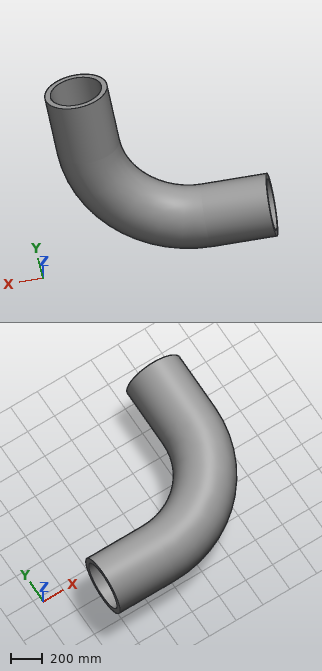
import cadquery as cq

overall_length = 1250.0
outer_diameter = 400.0
bore_diameter = 328.0
straight_length = 412.0

bend_radius = overall_length - outer_diameter / 2 - straight_length
bend_angle = 90.0


def pipe_ring(plane):
    """Annular pipe section at the origin of the given plane."""
    return cq.Workplane(plane).circle(outer_diameter / 2).circle(bore_diameter / 2)


inlet = pipe_ring("YZ").extrude(straight_length)

bend = (
    pipe_ring(cq.Plane.YZ(origin=(straight_length, 0, 0)))
    .revolve(bend_angle, (bend_radius, 0, 0), (bend_radius, 1, 0))
)

outlet_plane = cq.Plane(
    origin=(straight_length + bend_radius, bend_radius, 0),
    xDir=(1, 0, 0),
    normal=(0, 1, 0),
)
outlet = pipe_ring(outlet_plane).extrude(straight_length)

result = inlet.union(bend).union(outlet)